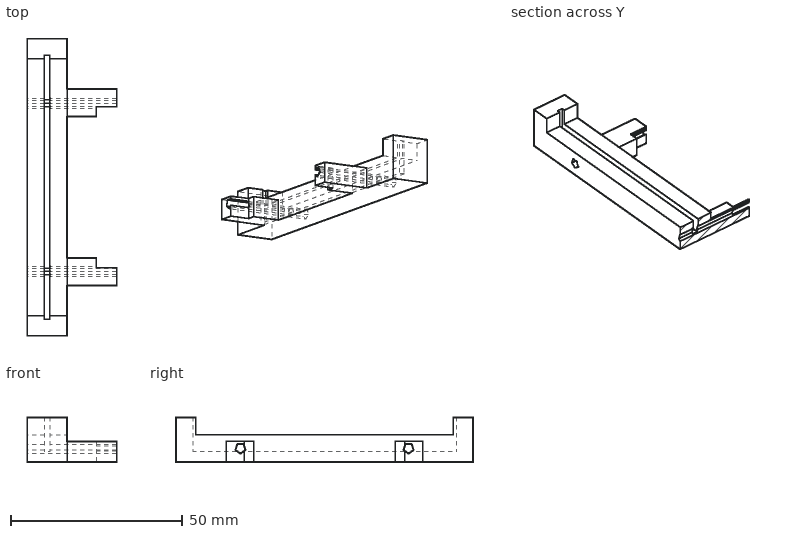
import cadquery as cq
import math

slot_wall = 5.0
slot_width = 1.65
rail_width = 2 * slot_wall + slot_width
rail_length = 86.75
rail_height = 13.0
seat_length = 75.0
seat_height = 8.0

slot_end_depth = 1.0
slot_length = seat_length + 2 * slot_end_depth
slot_floor_height = 3.2

arm_length = 14.5
arm_height = 6.0
arm_inset = 14.7
root_length = 8.5
root_width = 8.05
tongue_width = 5.2

hole_radius = 1.5
hole_corners = 5
hole_height = 4.0
hole_inset = 18.85

mid_y = rail_length / 2
overall_length_x = rail_width + arm_length


def box(x_start, y_start, z_start, x_size, y_size, z_size):
    """Box given by its lowest corner and its sizes."""
    corner = (x_start, y_start, z_start)
    return cq.Workplane("XY").box(x_size, y_size, z_size, centered=False).translate(corner)


def make_rail():
    """Bar with a lowered seat between the end blocks and a slot in the seat."""
    body = box(0, 0, 0, rail_width, rail_length, rail_height)
    seat = box(0, mid_y - seat_length / 2, seat_height, rail_width, seat_length, rail_height - seat_height)
    slot = box(
        slot_wall,
        mid_y - slot_length / 2,
        slot_floor_height,
        slot_width,
        slot_length,
        rail_height - slot_floor_height,
    )
    return body.cut(seat).cut(slot)


def make_arm():
    """Arm near the Y = 0 end, stepped on the side facing the middle of the rail."""
    root = box(rail_width, arm_inset, 0, root_length, root_width, arm_height)
    tongue = box(rail_width, arm_inset, 0, arm_length, tongue_width, arm_height)
    return root.union(tongue)


def make_hole():
    """Pentagonal hole along X near the Y = 0 end; it breaks out of the tongue's inner side."""
    corners = []
    for index in range(hole_corners):
        angle = -math.pi / 2 + index * 2 * math.pi / hole_corners
        y = hole_inset + hole_radius * math.cos(angle)
        z = hole_height + hole_radius * math.sin(angle)
        corners.append((y, z))
    return cq.Workplane("YZ").polyline(corners).close().extrude(overall_length_x)


def mirrored_pair(shape):
    """The shape together with its mirror image about the middle of the rail."""
    return shape.union(shape.mirror("XZ", (0, mid_y, 0)))


result = make_rail().union(mirrored_pair(make_arm())).cut(mirrored_pair(make_hole()))